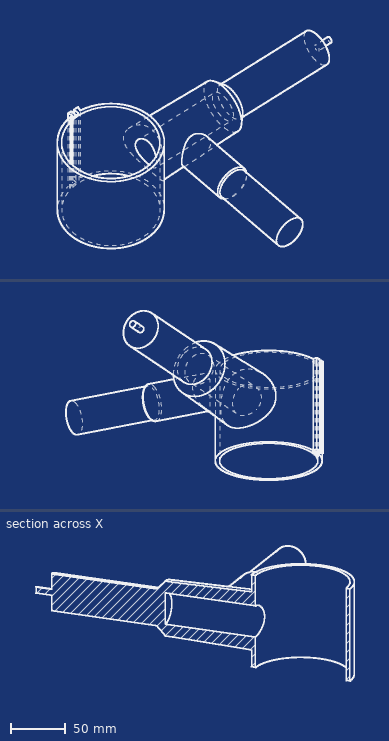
import cadquery as cq

OVERALL_LENGTH = 313.0

RING_HEIGHT = 90.0
BORE_RADIUS = 45.0
RING_RADIUS = 49.2

EAR_TIP_X = -53.5
EAR_TOP_Y = 6.3
EAR_BOTTOM_Y = -6.0
EAR_FLARE = 1.3
SPLIT_TOP_Y = 1.3
SPLIT_BOTTOM_Y = -2.0
LIP_RADIUS = 47.0
LIP_END_Y = -8.0
LIP_CLEARANCE = 0.3
RECESS_END_Y = -11.3

SOCKET_ROOT_RADIUS = 29.7
SOCKET_TIP_RADIUS = 27.0
SOCKET_END_Y = 135.0
NECK_RADIUS = 18.2
NECK_START_Y = SOCKET_END_Y + SOCKET_TIP_RADIUS - NECK_RADIUS
NECK_END_Y = 248.3
PIN_RADIUS = 3.0
ARM_END_Y = OVERALL_LENGTH - RING_RADIUS
ARM_BORE_RADIUS = 15.0

BRANCH_Y = 79.0
COLLAR_RADIUS = 17.5
COLLAR_END_X = 79.0
TUBE_RADIUS = 16.0
TUBE_START_X = COLLAR_END_X + COLLAR_RADIUS - TUBE_RADIUS
BRANCH_END_X = 160.3

BASE_PLANE = cq.Workplane("XY", origin=(0, 0, -RING_HEIGHT / 2))


def upright_cylinder(radius):
    return BASE_PLANE.circle(radius).extrude(RING_HEIGHT)


def upright_box(x_min, x_max, y_min, y_max):
    return (
        BASE_PLANE
        .center((x_min + x_max) / 2, (y_min + y_max) / 2)
        .rect(x_max - x_min, y_max - y_min)
        .extrude(RING_HEIGHT)
    )


def make_ears():
    """Both ears as one block that widens from the ring to the tip."""
    outline = [
        (EAR_TIP_X, EAR_TOP_Y),
        (-RING_RADIUS, EAR_TOP_Y - EAR_FLARE),
        (-BORE_RADIUS, EAR_TOP_Y - EAR_FLARE),
        (-BORE_RADIUS, EAR_BOTTOM_Y + EAR_FLARE),
        (-RING_RADIUS, EAR_BOTTOM_Y + EAR_FLARE),
        (EAR_TIP_X, EAR_BOTTOM_Y),
    ]
    return BASE_PLANE.polyline(outline).close().extrude(RING_HEIGHT)


def make_arm():
    """Solid of revolution about the Y axis."""
    profile = [
        (0, 0),
        (-SOCKET_ROOT_RADIUS, 0),
        (-SOCKET_TIP_RADIUS, SOCKET_END_Y),
        (-NECK_RADIUS, NECK_START_Y),
        (-NECK_RADIUS, NECK_END_Y),
        (-PIN_RADIUS, NECK_END_Y),
        (-PIN_RADIUS, ARM_END_Y),
        (0, ARM_END_Y),
    ]
    return cq.Workplane("XY").polyline(profile).close().revolve(360, (0, 0, 0), (0, 1, 0))


def make_branch():
    """Solid of revolution about a line parallel to X, starting inside the arm."""
    profile = [
        (0, 0),
        (0, -COLLAR_RADIUS),
        (COLLAR_END_X, -COLLAR_RADIUS),
        (TUBE_START_X, -TUBE_RADIUS),
        (BRANCH_END_X, -TUBE_RADIUS),
        (BRANCH_END_X, 0),
    ]
    branch = cq.Workplane("XY").polyline(profile).close().revolve(360, (0, 0, 0), (1, 0, 0))
    return branch.translate((0, BRANCH_Y, 0))


def make_arm_bore():
    """Blind bore from the ring into the arm, ending level with the socket end."""
    return cq.Workplane("XZ").circle(ARM_BORE_RADIUS).extrude(-SOCKET_END_Y)


def make_split():
    """Gap between the ears plus the recess in the lower ring end that receives the lip."""
    gap = upright_box(EAR_TIP_X, -BORE_RADIUS / 2, SPLIT_BOTTOM_Y, SPLIT_TOP_Y)
    recess = upright_box(EAR_TIP_X, -BORE_RADIUS / 2, RECESS_END_Y, SPLIT_TOP_Y)
    recess = recess.intersect(upright_cylinder(LIP_RADIUS))
    return gap.union(recess)


def make_lip():
    """Thin tongue that continues the upper ring end across the split."""
    band = upright_cylinder(LIP_RADIUS - LIP_CLEARANCE).cut(upright_cylinder(BORE_RADIUS))
    return band.intersect(upright_box(EAR_TIP_X, -BORE_RADIUS / 2, LIP_END_Y, EAR_TOP_Y))


body = upright_cylinder(RING_RADIUS).union(make_ears()).union(make_arm()).union(make_branch())
body = body.cut(upright_cylinder(BORE_RADIUS)).cut(make_arm_bore())
result = body.cut(make_split()).union(make_lip())